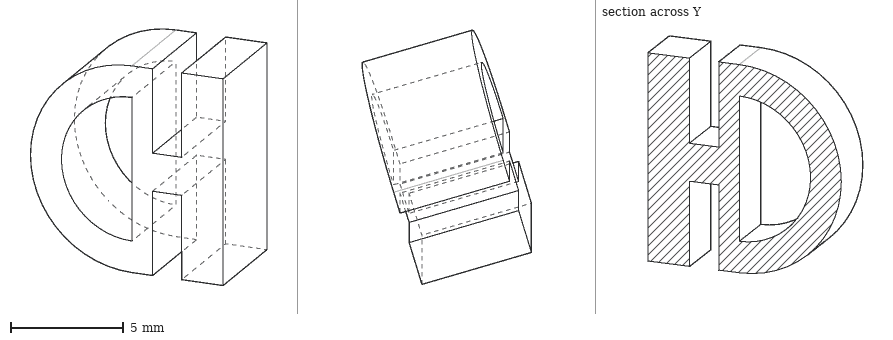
import cadquery as cq

height = 9.8
depth = 5.1
wall = 1.5
back_thickness = 1.0
slot_width = 1.4
bar_thickness = 2.0
web_height = 1.8

outer_radius = height / 2
inner_radius = outer_radius - wall
bar_start = back_thickness + slot_width


def half_disc(radius):
    """Full-depth half cylinder about the Y axis, round towards -X."""
    profile = cq.Workplane("XZ").moveTo(0, -radius).threePointArc((-radius, 0), (0, radius)).close()
    return profile.extrude(depth / 2, both=True)


def block(x_start, x_length, z_length):
    """Full-depth block centred in Y and Z."""
    return cq.Workplane("XY").box(x_length, depth, z_length).translate((x_start + x_length / 2, 0, 0))


curved_wall = half_disc(outer_radius).cut(half_disc(inner_radius))
loop = curved_wall.union(block(0, back_thickness, height))

web = block(back_thickness, slot_width, web_height)
bar = block(bar_start, bar_thickness, height)

result = loop.union(web).union(bar)